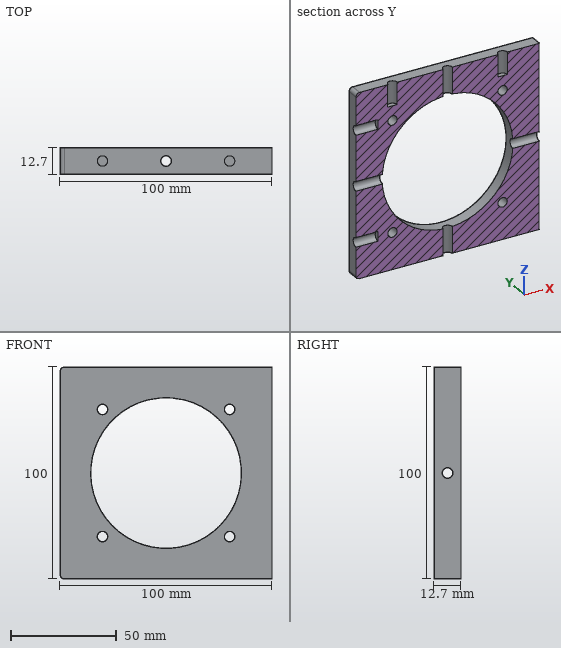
import cadquery as cq

side = 100.0
thickness = 12.7
corner_radius = 2.0
bore_diameter = 71.0

hole_spacing = 60.0
face_hole_diameter = 4.8
edge_hole_diameter = 4.9
blind_depth = 12.0


def y_cylinder(diameter, x=0, z=0):
    """Cutter through the plate thickness."""
    start = cq.Vector(x, -thickness / 2, z)
    return cq.Solid.makeCylinder(diameter / 2, thickness, start, cq.Vector(0, 1, 0))


def top_edge_hole(x, depth):
    """Cutter going down from the top edge."""
    start = cq.Vector(x, 0, side / 2)
    return cq.Solid.makeCylinder(edge_hole_diameter / 2, depth, start, cq.Vector(0, 0, -1))


def left_edge_hole(z, depth):
    """Cutter going inward from the left edge."""
    start = cq.Vector(-side / 2, 0, z)
    return cq.Solid.makeCylinder(edge_hole_diameter / 2, depth, start, cq.Vector(1, 0, 0))


plate = cq.Workplane("XY").box(side, thickness, side)
plate = plate.edges("|Y and <X").fillet(corner_radius)

plate = plate.cut(cq.Workplane(y_cylinder(bore_diameter)))

hole_offsets = (-hole_spacing / 2, hole_spacing / 2)

for x in hole_offsets:
    for z in hole_offsets:
        plate = plate.cut(cq.Workplane(y_cylinder(face_hole_diameter, x, z)))

plate = plate.cut(cq.Workplane(top_edge_hole(0, side)))
plate = plate.cut(cq.Workplane(left_edge_hole(0, side)))

for offset in hole_offsets:
    plate = plate.cut(cq.Workplane(top_edge_hole(offset, blind_depth)))
    plate = plate.cut(cq.Workplane(left_edge_hole(offset, blind_depth)))

result = plate